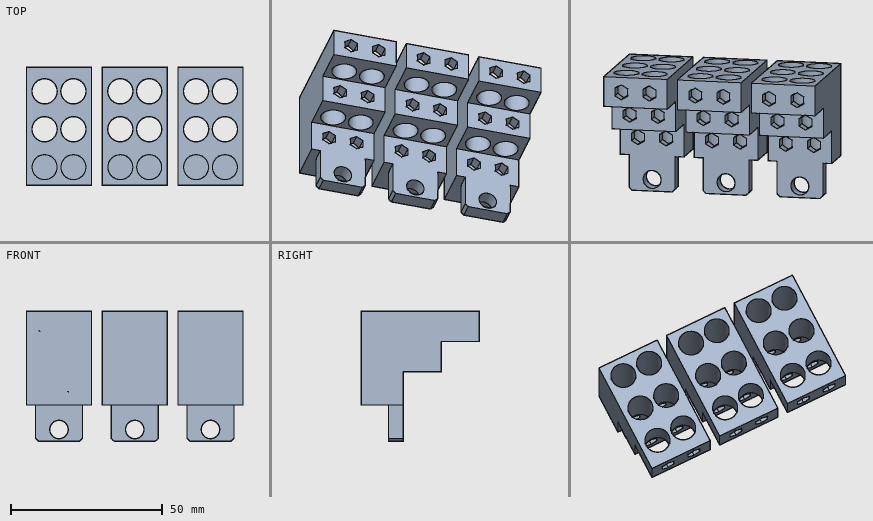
import cadquery as cq

total_length = 71.5
total_depth = 39.0
total_height = 43.0
terminal_count = 3

block_width = 21.5
step_run = 12.5
step_height = 10.0
step_count = 3

tab_width = 15.5
tab_thickness = 5.0
tab_height = 11.95
tab_corner_chamfer = 1.0
tab_hole_diameter = 6.0
tab_hole_drop = 8.0

wire_hole_diameter = 8.2
wire_hole_spacing = 9.5
front_wire_hole_inset = 6.0

hex_across_corners = 5.0
corner_up_angle = 30

front_y = -total_depth / 2
rear_y = total_depth / 2
top_z = total_height / 2
tab_bottom_z = -total_height / 2
block_bottom_z = tab_bottom_z + tab_height
tab_rear_y = rear_y - (step_count - 1) * step_run
terminal_pitch = (total_length - block_width) / (terminal_count - 1)
wire_hole_offsets = (-wire_hole_spacing / 2, wire_hole_spacing / 2)


def step_rear_y(step):
    """Rear face of a step, counted from 0 at the top."""
    return rear_y - step * step_run


def wire_row_y(step):
    """Centre line of the pair of wire holes that serves a step."""
    return front_y + front_wire_hole_inset + (step_count - 1 - step) * step_run


def stepped_block():
    """Staircase profile, extruded symmetrically across the width."""
    profile = [(front_y, block_bottom_z), (front_y, top_z)]
    for step in range(step_count):
        last_step = step == step_count - 1
        upper_z = top_z - step * step_height
        lower_z = block_bottom_z if last_step else upper_z - step_height
        profile.append((step_rear_y(step), upper_z))
        profile.append((step_rear_y(step), lower_z))
    return cq.Workplane("YZ").polyline(profile).close().extrude(block_width / 2, both=True)


def mounting_tab():
    """Flat tab, flush with the rear of the lowest step, with a bolt hole."""
    tab = (
        cq.Workplane("XY", origin=(0, tab_rear_y - tab_thickness / 2, tab_bottom_z))
        .rect(tab_width, tab_thickness)
        .extrude(tab_height)
        .faces("<Z")
        .edges("|Y")
        .chamfer(tab_corner_chamfer)
    )
    bolt_hole = (
        cq.Workplane("XZ", origin=(0, tab_rear_y, block_bottom_z - tab_hole_drop))
        .circle(tab_hole_diameter / 2)
        .extrude(tab_thickness)
    )
    return tab.cut(bolt_hole)


def wire_holes(step):
    """Pair of holes from the top face down to the nominal bottom of a step.

    They run through the upper steps and leave a thin floor in the lowest one.
    """
    return (
        cq.Workplane("XY", origin=(0, wire_row_y(step), top_z))
        .pushPoints([(x, 0) for x in wire_hole_offsets])
        .circle(wire_hole_diameter / 2)
        .extrude(-(step + 1) * step_height)
    )


def clamping_hole(x, step):
    """Hexagonal hole, corner up, from a step's rear face to a wire hole axis."""
    centre_z = top_z - (step + 0.5) * step_height
    return (
        cq.Workplane("XZ", origin=(x, step_rear_y(step), centre_z))
        .transformed(rotate=(0, 0, corner_up_angle))
        .polygon(6, hex_across_corners)
        .extrude(step_rear_y(step) - wire_row_y(step))
    )


def terminal():
    """One stepped terminal block with its integral tab, centred on X = 0."""
    body = stepped_block().union(mounting_tab())
    for step in range(step_count):
        body = body.cut(wire_holes(step))
        for x in wire_hole_offsets:
            body = body.cut(clamping_hole(x, step))
    return body


terminals = []
for index in range(terminal_count):
    centre_x = (index - (terminal_count - 1) / 2) * terminal_pitch
    terminals.append(terminal().translate((centre_x, 0, 0)).val())

result = cq.Compound.makeCompound(terminals)